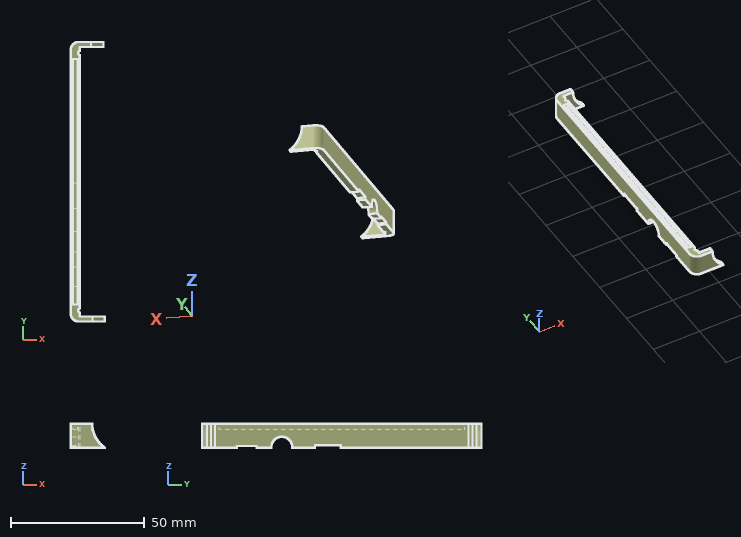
import cadquery as cq

length = 105.0
height = 9.0
wall_thickness = 3.5
arm_thickness = 2.0
corner_radius = 3.2

front_arm_reach = 12.9
back_arm_reach = 12.4
arm_sweep_reach = 4.7

slot_width = 1.7
slot_offset = 0.8
slot_end_margin = 6.5
slot_depth = 2.1

groove_radius = 0.8
groove_depth = 0.5
groove_end_distance = 4.2

wide_notch_start = 42.5
wide_notch_width = 9.6
wide_notch_height = 0.9
shallow_notch_start = 13.1
shallow_notch_width = 7.4
shallow_notch_height = 0.6
arch_center = 30.0
arch_radius = 3.9
arch_height = 4.1

front_end = -length / 2
back_end = length / 2


def box(x, y, z, size_x, size_y, size_z):
    """Box with its minimum corner at (x, y, z)."""
    return cq.Workplane("XY").box(size_x, size_y, size_z, centered=False).translate((x, y, z))


def arm(reach, y_start):
    """Arm whose end is hollowed by a cylinder centred level with the top edge."""
    sweep_radius = (arm_sweep_reach**2 + height**2) / (2 * arm_sweep_reach)
    center_x = reach - arm_sweep_reach + sweep_radius
    hollow = (
        cq.Workplane("XZ", origin=(0, y_start, 0))
        .center(center_x, height)
        .circle(sweep_radius)
        .extrude(-arm_thickness)
    )
    return box(0, y_start, 0, reach, arm_thickness, height).cut(hollow)


def bottom_notch(distance, width, notch_height):
    return box(0, front_end + distance, 0, wall_thickness, width, notch_height)


body = box(0, front_end, 0, wall_thickness, length, height)
body = body.union(arm(front_arm_reach, front_end))
body = body.union(arm(back_arm_reach, back_end - arm_thickness))
body = body.edges("|Z and <X").fillet(corner_radius)

slot_length = length - 2 * slot_end_margin
body = body.cut(
    box(slot_offset, -slot_length / 2, height - slot_depth, slot_width, slot_length, slot_depth)
)

groove_x = wall_thickness - groove_depth + groove_radius
groove_y = length / 2 - groove_end_distance
grooves = (
    cq.Workplane("XY")
    .pushPoints([(groove_x, -groove_y), (groove_x, groove_y)])
    .circle(groove_radius)
    .extrude(height)
)
body = body.cut(grooves)

body = body.cut(bottom_notch(wide_notch_start, wide_notch_width, wide_notch_height))
body = body.cut(bottom_notch(shallow_notch_start, shallow_notch_width, shallow_notch_height))

arch_spring = arch_height - arch_radius
arch_y = front_end + arch_center
arch = (
    cq.Workplane("YZ")
    .moveTo(arch_y - arch_radius, 0)
    .lineTo(arch_y - arch_radius, arch_spring)
    .threePointArc((arch_y, arch_height), (arch_y + arch_radius, arch_spring))
    .lineTo(arch_y + arch_radius, 0)
    .close()
    .extrude(wall_thickness)
)
result = body.cut(arch)